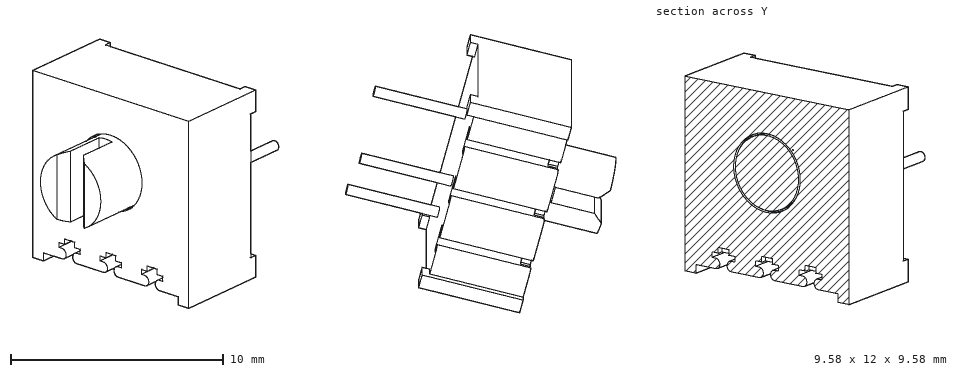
import cadquery as cq

OVERALL_LENGTH = 11.96

HOUSING_SIDE = 9.58
HOUSING_DEPTH = 4.56
STANDOFF_HEIGHT = 0.37
STANDOFF_WIDTH = 0.66
STANDOFF_LENGTH = 1.11
LEG_HEIGHT = 0.42

PITCH = 2.54
LIP_HEIGHT = 0.54
MOUTH_WIDTH = 0.4
CHANNEL_WIDTH = 1.3
CHANNEL_HEIGHT = 0.25
NOTCH_WIDTH = 0.6
NOTCH_HEIGHT = 0.28
NOTCH_DEPTH = 0.48

PIN_DIAMETER = 0.5
PIN_LENGTH = 4.46

SHAFT_DIAMETER = 3.71
SHAFT_BORE_DIAMETER = 3.85
SHAFT_BORE_DEPTH = 0.37
SHAFT_HEIGHT = 0.85
SHAFT_LENGTH = OVERALL_LENGTH - HOUSING_DEPTH - PIN_LENGTH
DRIVER_SLOT_WIDTH = 0.79
DRIVER_SLOT_FLOOR = 0.37
DRIVER_SLOT_CHAMFER = 0.45

OVERALL_DEPTH = HOUSING_DEPTH + STANDOFF_HEIGHT
BOTTOM = -HOUSING_SIDE / 2
LIP_BOTTOM = BOTTOM + LEG_HEIGHT
CHANNEL_FLOOR = LIP_BOTTOM + LIP_HEIGHT
CHANNEL_TOP = CHANNEL_FLOOR + CHANNEL_HEIGHT
POSITIONS = [-PITCH, 0, PITCH]


def block(width, height, y_start, y_end, x=0, z_bottom=0):
    """Box centred on x, standing on z_bottom, between two Y positions."""
    depth = y_end - y_start
    box = cq.Workplane("XY").box(width, depth, height, centered=(True, False, False))
    return box.translate((x, y_start, z_bottom))


def rod(diameter, y_start, y_end, x=0, z=0):
    """Cylinder along Y between two Y positions."""
    circle = cq.Workplane("XZ", origin=(x, y_start, z)).circle(diameter / 2)
    return circle.extrude(y_start - y_end)


def housing_shell():
    """Square body with four corner standoffs at the back and two legs below."""
    inner_width = HOUSING_SIDE - 2 * STANDOFF_WIDTH
    inner_height = HOUSING_SIDE - 2 * STANDOFF_LENGTH
    body = block(HOUSING_SIDE, HOUSING_SIDE, 0, OVERALL_DEPTH, z_bottom=BOTTOM)
    body = body.cut(block(inner_width, HOUSING_SIDE, HOUSING_DEPTH, OVERALL_DEPTH, z_bottom=BOTTOM))
    body = body.cut(
        block(HOUSING_SIDE, inner_height, HOUSING_DEPTH, OVERALL_DEPTH, z_bottom=-inner_height / 2)
    )
    return body.cut(block(inner_width, LEG_HEIGHT, 0, OVERALL_DEPTH, z_bottom=BOTTOM))


def terminal_channel(x):
    """T-shaped channel with a mouth between round lips, and the notch above it."""
    half_mouth = MOUTH_WIDTH / 2
    half_round_start = half_mouth + LIP_HEIGHT / 2
    half_channel = CHANNEL_WIDTH / 2
    lip_middle = LIP_BOTTOM + LIP_HEIGHT / 2
    channel = (
        cq.Workplane("XZ", origin=(x, 0, 0))
        .moveTo(-half_round_start, LIP_BOTTOM)
        .threePointArc((-half_mouth, lip_middle), (-half_round_start, CHANNEL_FLOOR))
        .lineTo(-half_channel, CHANNEL_FLOOR)
        .lineTo(-half_channel, CHANNEL_TOP)
        .lineTo(half_channel, CHANNEL_TOP)
        .lineTo(half_channel, CHANNEL_FLOOR)
        .lineTo(half_round_start, CHANNEL_FLOOR)
        .threePointArc((half_mouth, lip_middle), (half_round_start, LIP_BOTTOM))
        .close()
        .extrude(-HOUSING_DEPTH)
    )
    return channel.union(block(NOTCH_WIDTH, NOTCH_HEIGHT, 0, NOTCH_DEPTH, x, CHANNEL_TOP))


def slotted_shaft():
    """Round shaft with a chamfered screwdriver slot across its end."""
    half_slot = DRIVER_SLOT_WIDTH / 2
    half_opening = half_slot + DRIVER_SLOT_CHAMFER
    slot = (
        cq.Workplane("XY")
        .moveTo(-half_slot, -DRIVER_SLOT_FLOOR)
        .lineTo(-half_slot, DRIVER_SLOT_CHAMFER - SHAFT_LENGTH)
        .lineTo(-half_opening, -SHAFT_LENGTH)
        .lineTo(half_opening, -SHAFT_LENGTH)
        .lineTo(half_slot, DRIVER_SLOT_CHAMFER - SHAFT_LENGTH)
        .lineTo(half_slot, -DRIVER_SLOT_FLOOR)
        .close()
        .extrude(SHAFT_DIAMETER, both=True)
    )
    shaft = rod(SHAFT_DIAMETER, -SHAFT_LENGTH, SHAFT_BORE_DEPTH, z=SHAFT_HEIGHT)
    return shaft.cut(slot)


result = housing_shell()
for position in POSITIONS:
    result = result.cut(terminal_channel(position))

result = result.cut(rod(SHAFT_BORE_DIAMETER, 0, SHAFT_BORE_DEPTH, z=SHAFT_HEIGHT))
result = result.union(slotted_shaft())

for position in POSITIONS:
    pin_height = -PITCH if position == 0 else 0
    result = result.union(
        rod(PIN_DIAMETER, HOUSING_DEPTH, HOUSING_DEPTH + PIN_LENGTH, position, pin_height)
    )